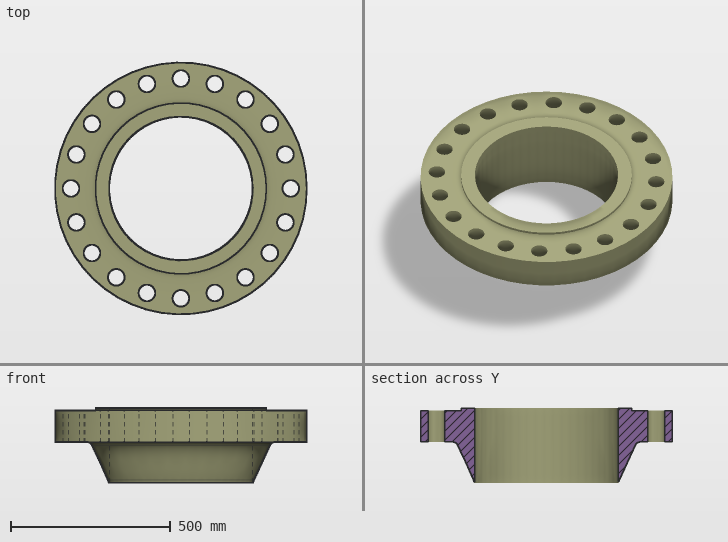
import cadquery as cq

flange_diameter = 787.5
total_height = 235.0
face_diameter = 534.0
face_height = 8.0
flange_thickness = 99.0
bore_diameter = 447.0
weld_end_diameter = 451.0
hub_tip_diameter = 457.5
weld_bevel_height = 9.5
hub_base_diameter = 566.0
hub_fillet_radius = 16.5
bolt_circle_diameter = 687.0
bolt_hole_diameter = 51.0
bolt_count = 20

face_bottom = total_height - face_height
flange_bottom = face_bottom - flange_thickness


def revolved_body():
    """Raised face, flange plate, tapered hub and bevelled weld end in one revolution."""
    bore_radius = bore_diameter / 2
    weld_end_radius = weld_end_diameter / 2
    hub_tip_radius = hub_tip_diameter / 2
    hub_base_radius = hub_base_diameter / 2
    flange_radius = flange_diameter / 2
    face_radius = face_diameter / 2
    profile = (
        cq.Workplane("XZ")
        .moveTo(bore_radius, 0)
        .lineTo(weld_end_radius, 0)
        .lineTo(hub_tip_radius, weld_bevel_height)
        .lineTo(hub_base_radius, flange_bottom)
        .lineTo(flange_radius, flange_bottom)
        .lineTo(flange_radius, face_bottom)
        .lineTo(face_radius, face_bottom)
        .lineTo(face_radius, total_height)
        .lineTo(bore_radius, total_height)
        .close()
    )
    return profile.revolve(360, (0, 0, 0), (0, 1, 0))


def round_hub_base(body):
    """Fillet the inside corner between the hub and the flange plate."""
    tolerance = 0.1
    corner_edges = body.edges(
        cq.selectors.BoxSelector(
            (-flange_diameter, -flange_diameter, flange_bottom - tolerance),
            (flange_diameter, flange_diameter, flange_bottom + tolerance),
        )
    ).edges(cq.selectors.RadiusNthSelector(0))
    return corner_edges.fillet(hub_fillet_radius)


def bolt_holes():
    """Evenly spaced through holes, the first one on the X axis."""
    return (
        cq.Workplane("XY")
        .workplane(offset=flange_bottom)
        .polarArray(bolt_circle_diameter / 2, 0, 360, bolt_count)
        .circle(bolt_hole_diameter / 2)
        .extrude(flange_thickness)
    )


result = round_hub_base(revolved_body()).cut(bolt_holes())